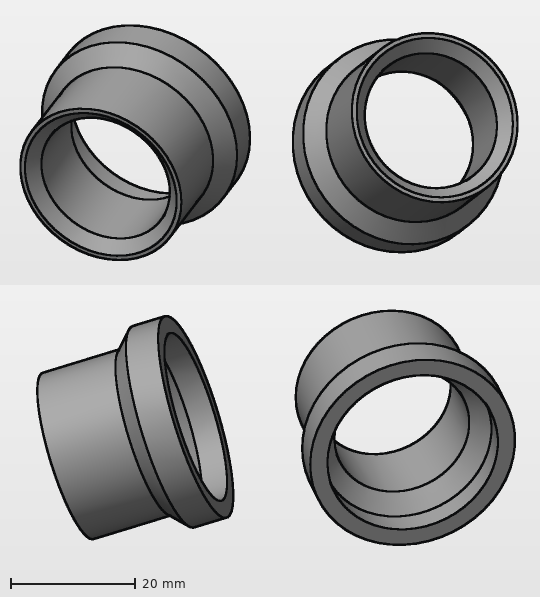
import cadquery as cq

flange_diameter = 34.0
tube_diameter = 28.1
bore_diameter = 22.37
mouth_diameter = 26.45
total_length = 22.0
flange_length = 5.55
mouth_depth = 2.05
bore_length = 14.7

flange_radius = flange_diameter / 2
tube_radius = tube_diameter / 2
bore_radius = bore_diameter / 2
mouth_radius = mouth_diameter / 2

front_y = -total_length / 2
back_y = total_length / 2
flange_front_y = back_y - flange_length

radius_step = flange_radius - tube_radius
socket_radius = bore_radius + radius_step
shoulder_front_y = flange_front_y - radius_step
taper_front_y = front_y + bore_length
taper_back_y = taper_front_y + radius_step

section = (
    cq.Workplane("XY")
    .moveTo(mouth_radius, front_y)
    .lineTo(tube_radius, front_y)
    .lineTo(tube_radius, shoulder_front_y)
    .lineTo(flange_radius, flange_front_y)
    .lineTo(flange_radius, back_y)
    .lineTo(socket_radius, back_y)
    .lineTo(socket_radius, taper_back_y)
    .lineTo(bore_radius, taper_front_y)
    .lineTo(bore_radius, front_y + mouth_depth)
    .close()
)

result = section.revolve(360, (0, 0, 0), (0, 1, 0))